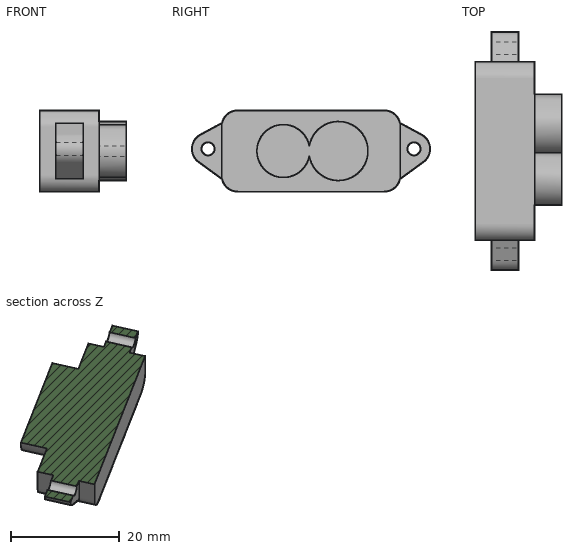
import cadquery as cq
import math

body_depth = 10.98
body_length = 32.92
body_height = 15.0
corner_radius = 3.0

total_length = 43.9
ear_radius = 3.0
ear_hole_diameter = 2.35
ear_thickness = 5.0
ear_setback = 3.0
ear_root_half_height = 5.15
ear_center_z = 0.4

boss_height = 5.0
large_boss_diameter = 10.9
small_boss_diameter = 9.75
boss_span = 20.45
boss_center_y = 0.25

ear_center_y = total_length / 2 - ear_radius
ear_root_y = body_length / 2


def tangent_point(root_z):
    """Point (y, z) where the straight ear flank from the root meets the round tip."""
    dy = ear_root_y - ear_center_y
    dz = root_z - ear_center_z
    turn = math.acos(ear_radius / math.hypot(dy, dz))
    angle = math.atan2(dz, dy) - math.copysign(turn, root_z)
    return (
        ear_center_y + ear_radius * math.cos(angle),
        ear_center_z + ear_radius * math.sin(angle),
    )


def make_body():
    """Block with rounded long edges along X, its flat back at X = 0."""
    block = cq.Workplane("YZ").rect(body_length, body_height).extrude(body_depth)
    return block.edges("|X").fillet(corner_radius)


def make_ear():
    """Drilled mounting ear on the +Y end, its root buried in the body."""
    inner_y = ear_root_y - corner_radius
    outline = (
        cq.Workplane("YZ", origin=(ear_setback, 0, 0))
        .moveTo(inner_y, -ear_root_half_height)
        .lineTo(ear_root_y, -ear_root_half_height)
        .lineTo(*tangent_point(-ear_root_half_height))
        .threePointArc((total_length / 2, ear_center_z), tangent_point(ear_root_half_height))
        .lineTo(ear_root_y, ear_root_half_height)
        .lineTo(inner_y, ear_root_half_height)
        .close()
    )
    hole = (
        cq.Workplane("YZ", origin=(ear_setback, ear_center_y, ear_center_z))
        .circle(ear_hole_diameter / 2)
        .extrude(ear_thickness)
    )
    return outline.extrude(ear_thickness).cut(hole)


def make_boss(diameter, center_y):
    """Round boss standing on the +X face."""
    return (
        cq.Workplane("YZ", origin=(body_depth, center_y, 0))
        .circle(diameter / 2)
        .extrude(boss_height)
    )


large_boss_y = boss_center_y + (boss_span - large_boss_diameter) / 2
small_boss_y = boss_center_y - (boss_span - small_boss_diameter) / 2

ear = make_ear()
result = (
    make_body()
    .union(ear)
    .union(ear.mirror("XZ"))
    .union(make_boss(large_boss_diameter, large_boss_y))
    .union(make_boss(small_boss_diameter, small_boss_y))
)